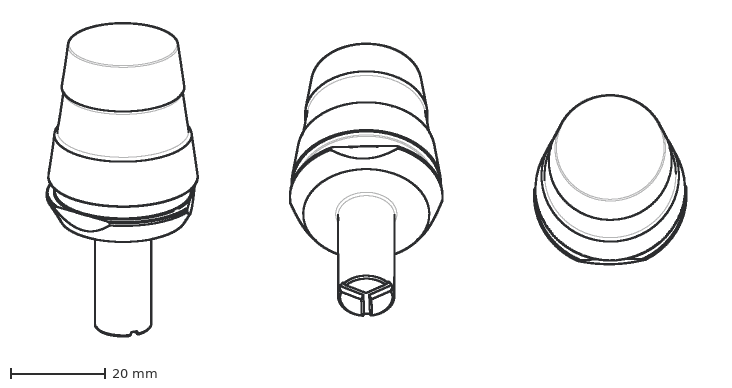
import cadquery as cq
import math

total_height = 65.1
flange_bottom = 25.2
flange_top = 30.9
barb_base = 34.3

shaft_radius = 6.0
shaft_chamfer = 0.45
neck_fillet = 0.5

flange_radius = 16.225
flange_rim_height = 0.8
flange_rim_chamfer = 0.2
flange_cone_angle = 30.0
flat_distance = 14.55
flat_angles = (30, 150, 270)

groove_radius = 14.45
groove_fillet = 0.2

lower_barb_bottom_radius = 15.9
lower_barb_top_radius = 14.6
middle_barb_bottom_radius = 13.95
middle_barb_top_radius = 12.65
upper_barb_bottom_radius = 13.05
upper_barb_top_radius = 11.7
lower_barb_top = 44.25
middle_barb_bottom = 45.0
middle_barb_top = 54.35
upper_barb_bottom = 55.2
lower_barb_lip = 0.2
crown_fillet = 0.3

foot_groove_depth = 1.05
foot_groove_roof_width = 1.2
foot_groove_mouth_width = 2.2
foot_groove_angles = (90, 210, 330)


def corner_arc_middle(start, end, corner):
    """Middle point of the elliptical quarter arc from start to end that hugs the given corner."""
    reach = 1 - math.sqrt(0.5)
    return tuple(c + reach * (s - c + e - c) for s, e, c in zip(start, end, corner))


def concave_arc(outline, start, end, corner):
    """Run the outline to start, then along a hollow arc to end."""
    return outline.lineTo(*start).threePointArc(corner_arc_middle(start, end, corner), end)


def turned_body():
    rim_bottom = flange_top - flange_rim_height
    cone_height = rim_bottom - flange_bottom
    cone_radius = flange_radius - cone_height * math.tan(math.radians(flange_cone_angle))

    outline = cq.Workplane("XZ").lineTo(shaft_radius - shaft_chamfer, 0)
    outline = outline.lineTo(shaft_radius, shaft_chamfer)
    outline = concave_arc(
        outline,
        (shaft_radius, flange_bottom - neck_fillet),
        (shaft_radius + neck_fillet, flange_bottom),
        (shaft_radius, flange_bottom),
    )

    outline = outline.lineTo(cone_radius, flange_bottom)
    outline = outline.lineTo(flange_radius, rim_bottom)
    outline = outline.lineTo(flange_radius, flange_top - flange_rim_chamfer)
    outline = outline.lineTo(flange_radius - flange_rim_chamfer, flange_top)
    outline = concave_arc(
        outline,
        (groove_radius + groove_fillet, flange_top),
        (groove_radius, flange_top + groove_fillet),
        (groove_radius, flange_top),
    )
    outline = concave_arc(
        outline,
        (groove_radius, barb_base - groove_fillet),
        (groove_radius + groove_fillet, barb_base),
        (groove_radius, barb_base),
    )

    outline = outline.lineTo(lower_barb_bottom_radius - lower_barb_lip, barb_base)
    outline = outline.lineTo(lower_barb_bottom_radius, barb_base + lower_barb_lip)
    outline = concave_arc(
        outline,
        (lower_barb_top_radius, lower_barb_top),
        (middle_barb_bottom_radius, middle_barb_bottom),
        (middle_barb_bottom_radius, lower_barb_top),
    )
    outline = concave_arc(
        outline,
        (middle_barb_top_radius, middle_barb_top),
        (upper_barb_bottom_radius, upper_barb_bottom),
        (middle_barb_top_radius, upper_barb_bottom),
    )
    outline = outline.lineTo(upper_barb_top_radius, total_height)
    outline = outline.lineTo(0, total_height).close()

    body = outline.revolve(360, (0, 0, 0), (0, 1, 0))
    return body.faces(">Z").edges().fillet(crown_fillet)


def flange_flat_cutter(angle):
    """Block that trims the flange to a flat facing the given direction."""
    cutter = cq.Workplane("XY", origin=(flat_distance, 0, flange_bottom)).box(
        flange_radius,
        2 * flange_radius,
        flange_top - flange_bottom,
        centered=(False, True, False),
    )
    return cutter.rotate((0, 0, 0), (0, 0, 1), angle)


def foot_groove_cutter(angle):
    """Tapered groove running from the axis out through the shaft wall."""
    section = [
        (-foot_groove_mouth_width / 2, 0),
        (foot_groove_mouth_width / 2, 0),
        (foot_groove_roof_width / 2, foot_groove_depth),
        (-foot_groove_roof_width / 2, foot_groove_depth),
    ]
    cutter = cq.Workplane("YZ").polyline(section).close().extrude(2 * shaft_radius)
    return cutter.rotate((0, 0, 0), (0, 0, 1), angle)


result = turned_body()
for flat_angle in flat_angles:
    result = result.cut(flange_flat_cutter(flat_angle))
for groove_angle in foot_groove_angles:
    result = result.cut(foot_groove_cutter(groove_angle))